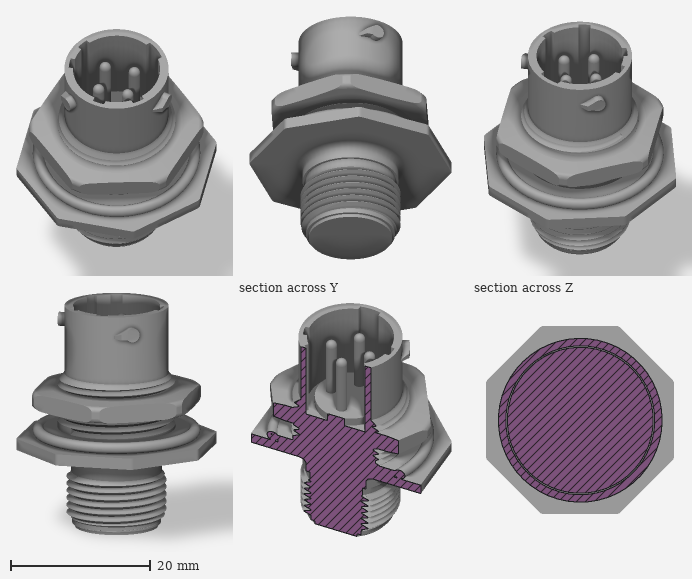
import cadquery as cq
import math

total_height = 32.55
rear_spigot_radius = 6.0
rear_spigot_top = 0.52
rear_collar_radius = 6.38
rear_collar_top = 1.25
relief_bottom = 8.07
relief_radius = 6.5
neck_bottom = 9.4
neck_radius = 6.9
neck_fillet = 0.85

flange_bottom = 11.7
flange_thickness = 1.65
flange_across_flats = 27.0
flange_sides = 8
flange_corner_radius = 0.8
flange_top = flange_bottom + flange_thickness

shell_radius = 7.5
shell_bottom = 22.62

ten_turn_rise = 10.6
thread_pitch = ten_turn_rise / 10
crest_flat = 0.03
groove_clearance = 0.015
rod_overrun = 6.5
panel_thread_radius = 8.45
panel_thread_depth = 0.8
panel_lead_in_height = 1.17
panel_groove_start = 15.15
panel_groove_start_angle = -38.0
panel_groove_turns = 6.5 - panel_groove_start_angle / 360.0
rear_thread_radius = 7.2
rear_thread_depth = 0.85
rear_lead_in_height = 0.62
rear_groove_start = 0.52
rear_groove_start_angle = -45.0
rear_groove_turns = 7.0

ring_tube_radius = 0.8
ring_center_radius = 11.23
ring_embed = 0.03
ring_seat_radius = 10.5
ring_seat_height = 1.25
nut_bottom = 17.65
nut_thickness = 3.0
nut_sides = 6
nut_across_flats = 22.2
nut_corner_radius = 12.5
nut_face_radius = 9.5
nut_shoulder_radius = 11.85
nut_shoulder_drop = 0.3
nut_corner_band = 0.98
nut_edge_rounding = 0.78

bore_radius = 6.25
bore_floor = 20.18
insert_radius = 5.15
insert_top = 21.48
keyway_radius = 6.87
main_key_angle = 90.0
main_key_width = 3.2
minor_key_angles = (-4.5, 194.0, 228.5, 305.5)
minor_key_width = 1.73
contact_circle_radius = 3.03
contact_radius = 0.8
contact_tip = 30.65
contact_count = 4

stud_angles = (30.0, 150.0, 270.0)
front_angle = 270.0
stud_height = 30.05
stud_radius = 1.0
stud_reach = 8.53
stud_root = 7.0
stud_overrun = 0.33
tail_tip_root = 2.45
tail_tip_outer = 1.55
tail_bottom = -0.68
tail_tip_top = -0.3
tail_join = (-0.6, 0.8)


def cylinder(radius, bottom, top):
    return cq.Workplane("XY").workplane(offset=bottom).circle(radius).extrude(top - bottom)


def threaded_rod(radius, depth, start, start_angle, turns):
    """Overlong cylinder with a right-handed V groove cut into it along a helix."""
    half_width = (thread_pitch - crest_flat) / 2
    path = cq.Wire.makeHelix(thread_pitch, thread_pitch * turns, radius)
    groove = (
        cq.Workplane("XZ")
        .moveTo(radius - depth, 0)
        .lineTo(radius + groove_clearance, half_width)
        .lineTo(radius + groove_clearance, -half_width)
        .close()
        .sweep(path, isFrenet=True)
        .rotate((0, 0, 0), (0, 0, 1), start_angle)
        .translate((0, 0, start))
    )
    return cylinder(radius, -rod_overrun, total_height).cut(groove)


def rear_thread():
    """Threaded length with tapered lead-ins, standing between the rear collar and the relief."""
    envelope = (
        cq.Workplane("XZ")
        .moveTo(0, 0)
        .lineTo(rear_spigot_radius, 0)
        .lineTo(rear_spigot_radius, rear_spigot_top)
        .lineTo(rear_collar_radius, rear_spigot_top)
        .lineTo(rear_collar_radius, rear_collar_top)
        .lineTo(rear_thread_radius, rear_collar_top + rear_lead_in_height)
        .lineTo(rear_thread_radius, relief_bottom - rear_lead_in_height)
        .lineTo(relief_radius, relief_bottom)
        .lineTo(relief_radius, neck_bottom)
        .lineTo(0, neck_bottom)
        .close()
        .revolve(360, (0, 0, 0), (0, 1, 0))
    )
    rod = threaded_rod(
        rear_thread_radius, rear_thread_depth,
        rear_groove_start, rear_groove_start_angle, rear_groove_turns,
    )
    return rod.intersect(envelope)


def neck():
    return (
        cq.Workplane("XZ")
        .moveTo(0, neck_bottom)
        .lineTo(neck_radius, neck_bottom)
        .lineTo(neck_radius, flange_bottom - neck_fillet)
        .radiusArc((neck_radius + neck_fillet, flange_bottom), neck_fillet)
        .lineTo(0, flange_bottom)
        .close()
        .revolve(360, (0, 0, 0), (0, 1, 0))
    )


def panel_thread():
    envelope = (
        cq.Workplane("XZ")
        .moveTo(0, flange_top)
        .lineTo(panel_thread_radius, flange_top)
        .lineTo(panel_thread_radius, shell_bottom - panel_lead_in_height)
        .lineTo(shell_radius, shell_bottom)
        .lineTo(0, shell_bottom)
        .close()
        .revolve(360, (0, 0, 0), (0, 1, 0))
    )
    rod = threaded_rod(
        panel_thread_radius, panel_thread_depth,
        panel_groove_start, panel_groove_start_angle, panel_groove_turns,
    )
    return rod.intersect(envelope)


def flange():
    corner_diameter = flange_across_flats / math.cos(math.pi / flange_sides)
    return (
        cq.Workplane("XY")
        .workplane(offset=flange_bottom)
        .transformed(rotate=(0, 0, 180 / flange_sides))
        .polygon(flange_sides, corner_diameter)
        .extrude(flange_thickness)
        .edges("|Z")
        .fillet(flange_corner_radius)
    )


def sealing_ring():
    center_height = flange_top + ring_tube_radius - ring_embed
    return (
        cq.Workplane("XZ")
        .center(ring_center_radius, center_height)
        .circle(ring_tube_radius)
        .revolve(360, (-ring_center_radius, 0, 0), (-ring_center_radius, 1, 0))
    )


def hex_nut():
    """Hexagon whose corners are turned to a rounded, slightly coned profile on both faces."""
    corner_diameter = nut_across_flats / math.cos(math.pi / nut_sides)
    prism = cq.Workplane("XY").polygon(nut_sides, corner_diameter).extrude(nut_thickness)
    band_bottom = (nut_thickness - nut_corner_band) / 2
    band_top = band_bottom + nut_corner_band
    turned = (
        cq.Workplane("XZ")
        .moveTo(0, 0)
        .lineTo(nut_face_radius, 0)
        .lineTo(nut_shoulder_radius, nut_shoulder_drop)
        .radiusArc((nut_corner_radius, band_bottom), -nut_edge_rounding)
        .lineTo(nut_corner_radius, band_top)
        .radiusArc((nut_shoulder_radius, nut_thickness - nut_shoulder_drop), -nut_edge_rounding)
        .lineTo(nut_face_radius, nut_thickness)
        .lineTo(0, nut_thickness)
        .close()
        .revolve(360, (0, 0, 0), (0, 1, 0))
    )
    return prism.intersect(turned).translate((0, 0, nut_bottom))


def keyway(angle, width):
    """Radial slot reaching from the axis out to the keyway radius."""
    slot = (
        cq.Workplane("XY")
        .workplane(offset=bore_floor)
        .center(keyway_radius / 2, 0)
        .rect(keyway_radius, width)
        .extrude(total_height - bore_floor)
    )
    slot = slot.rotate((0, 0, 0), (0, 0, 1), angle)
    reach = cylinder(keyway_radius, bore_floor, total_height)
    return slot.intersect(reach)


def socket():
    cavity = cylinder(bore_radius, bore_floor, total_height)
    cavity = cavity.union(keyway(main_key_angle, main_key_width))
    for angle in minor_key_angles:
        cavity = cavity.union(keyway(angle, minor_key_width))
    return cavity


def contact_insert():
    """Raised insert on the socket floor carrying a ring of round-tipped contact pins."""
    tip_center = contact_tip - contact_radius
    pin = cylinder(contact_radius, bore_floor, tip_center)
    pin = pin.union(cq.Workplane("XY").sphere(contact_radius).translate((0, 0, tip_center)))
    insert = cylinder(insert_radius, bore_floor, insert_top)
    for index in range(contact_count):
        angle = 2 * math.pi * index / contact_count
        x = contact_circle_radius * math.cos(angle)
        y = contact_circle_radius * math.sin(angle)
        insert = insert.union(pin.translate((x, y, 0)))
    return insert


def bayonet_stud(angle):
    """Round stud with a tapering tail, modelled at the front (-Y) and turned into place."""
    length = stud_reach + stud_overrun - stud_root
    side = cq.Workplane("XZ", origin=(0, -stud_root, stud_height))
    pin = side.circle(stud_radius).extrude(length)
    tail = (
        side.moveTo(*tail_join)
        .lineTo(-tail_tip_root, tail_tip_top)
        .lineTo(-tail_tip_root, tail_bottom)
        .lineTo(0, tail_bottom)
        .close()
        .extrude(length)
    )
    tail_plan = (
        cq.Workplane("XY")
        .workplane(offset=stud_height - stud_radius)
        .moveTo(0, -stud_root)
        .lineTo(-tail_tip_root, -stud_root)
        .lineTo(-tail_tip_outer, -stud_reach)
        .lineTo(0, -stud_reach)
        .close()
        .extrude(2 * stud_radius)
    )
    stud = pin.union(tail.intersect(tail_plan))
    envelope = cylinder(stud_reach, stud_height - 2 * stud_radius, stud_height + 2 * stud_radius)
    return stud.intersect(envelope).rotate((0, 0, 0), (0, 0, 1), angle - front_angle)


result = rear_thread().union(neck()).union(flange()).union(panel_thread())
result = result.union(cylinder(shell_radius, shell_bottom, total_height))
result = result.union(cylinder(ring_seat_radius, flange_top, flange_top + ring_seat_height))
result = result.union(hex_nut()).union(sealing_ring())
for stud_angle in stud_angles:
    result = result.union(bayonet_stud(stud_angle))
result = result.cut(socket()).union(contact_insert()).solids()